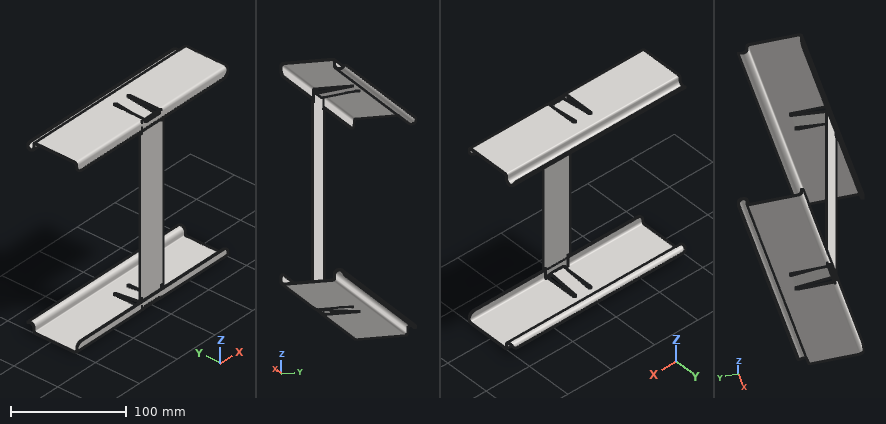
import cadquery as cq
import math

length = 200.0
depth = 58.2
height = 198.0
sheet = 1.0

lip_height = 10.5
lip_corner_radius = 6.0
lip_bend_radius = 3.5
hook_radius = 4.75
hook_bend_radius = 2.2
hook_drop = 5.1
hook_corner_radius = 5.0

tongue_width = 15.0
tongue_root = 35.0
tongue_drop = 3.8
slot_width = 2.5
slot_overrun = 1.0
slot_corner_radius = 1.0
window_corner_radius = 1.25

web_width = 31.0
web_neck_width = 26.0
web_shoulder = 13.5
web_end_gap = 1.5

top = height / 2
window_width = tongue_width + 2 * slot_width
web_back = 2 * sheet
hook_y = depth - hook_radius
hook_z = top - hook_drop
wall_y = hook_y - hook_radius + sheet
diagonal = math.sqrt(0.5)


def box(width, y_min, y_max, z_min, z_max, x_mid=0.0):
    """Box of the given X width, centred on x_mid."""
    block = cq.Workplane("XY").box(width, y_max - y_min, z_max - z_min)
    return block.translate((x_mid, (y_min + y_max) / 2, (z_min + z_max) / 2))


def extrude_across(profile, width):
    """Extrude a YZ profile to the given X width, centred on X = 0."""
    return profile.extrude(width / 2, both=True)


def make_rail():
    """Top rail: lip, plate and upward-open hook in one bent sheet."""
    lip_inner = lip_bend_radius - sheet
    hook_inner = hook_radius - sheet
    bend_inner = hook_bend_radius - sheet
    bend_y = wall_y - hook_bend_radius
    bend_z = top - hook_bend_radius
    lip_z = top - lip_bend_radius
    profile = (
        cq.Workplane("YZ")
        .moveTo(0, top - lip_height)
        .lineTo(0, lip_z)
        .threePointArc(
            (lip_bend_radius * (1 - diagonal), lip_z + lip_bend_radius * diagonal),
            (lip_bend_radius, top),
        )
        .lineTo(bend_y, top)
        .threePointArc(
            (bend_y + hook_bend_radius * diagonal, bend_z + hook_bend_radius * diagonal),
            (wall_y, bend_z),
        )
        .lineTo(wall_y, hook_z)
        .threePointArc((hook_y, hook_z - hook_inner), (hook_y + hook_inner, hook_z))
        .lineTo(depth, hook_z)
        .threePointArc((hook_y, hook_z - hook_radius), (wall_y - sheet, hook_z))
        .lineTo(wall_y - sheet, bend_z)
        .threePointArc(
            (bend_y + bend_inner * diagonal, bend_z + bend_inner * diagonal),
            (bend_y, top - sheet),
        )
        .lineTo(lip_bend_radius, top - sheet)
        .threePointArc(
            (lip_bend_radius - lip_inner * diagonal, lip_z + lip_inner * diagonal),
            (sheet, lip_z),
        )
        .lineTo(sheet, top - lip_height)
        .close()
    )
    return extrude_across(profile, length)


def corner_cutter(side, radius, edge_z, inward, y_min, y_max):
    """Waste outside a rounded sheet corner at X end `side`; `inward` is the Z sense into the sheet."""
    edge_x = side * length / 2
    centre_x = edge_x - side * radius
    centre_z = edge_z + inward * radius
    waste = (
        cq.Workplane("XZ", origin=(0, y_max, 0))
        .moveTo(edge_x, edge_z)
        .lineTo(edge_x, centre_z)
        .threePointArc(
            (centre_x + side * radius * diagonal, centre_z - inward * radius * diagonal),
            (centre_x, edge_z),
        )
        .close()
    )
    return waste.extrude(y_max - y_min)


def round_corners(rail):
    """Round both ends of the lip edge and of the hook tip."""
    for side in (-1, 1):
        rail = rail.cut(corner_cutter(side, lip_corner_radius, top - lip_height, 1, 0, sheet))
        rail = rail.cut(corner_cutter(side, hook_corner_radius, hook_z, -1, hook_y, depth))
    return rail


def cut_window(rail):
    """Open the plate around the tongue and the lip bend in front of it."""
    plate_opening = box(window_width, 0, tongue_root, top - sheet, top)
    bend_opening = box(window_width, 0, lip_bend_radius, top - lip_bend_radius, top)
    bend_opening = bend_opening.edges("|Y and <Z").fillet(window_corner_radius)
    rail = rail.cut(plate_opening).cut(bend_opening)
    for side in (-1, 1):
        slot_x = side * (tongue_width + slot_width) / 2
        slot_end = box(
            slot_width, lip_bend_radius, tongue_root + slot_overrun, top - sheet, top, slot_x
        )
        rail = rail.cut(slot_end.edges("|Z and >Y").fillet(slot_corner_radius))
    return rail


def make_tongue():
    """Sloping tongue from the plate down to the web."""
    profile = cq.Workplane("YZ").polyline([
        (tongue_root, top),
        (web_back, top - tongue_drop),
        (web_back, top - tongue_drop - sheet),
        (tongue_root, top - sheet),
    ]).close()
    return extrude_across(profile, tongue_width)


def make_web():
    """Upright strip, stepped narrower towards each rail."""
    shoulder_z = top - web_shoulder
    neck_z = top - web_end_gap
    web = box(web_width, sheet, web_back, -shoulder_z, shoulder_z)
    return web.union(box(web_neck_width, sheet, web_back, -neck_z, neck_z))


top_rail = cut_window(round_corners(make_rail())).union(make_tongue())
bottom_rail = top_rail.mirror("XY")
result = make_web().union(top_rail).union(bottom_rail)